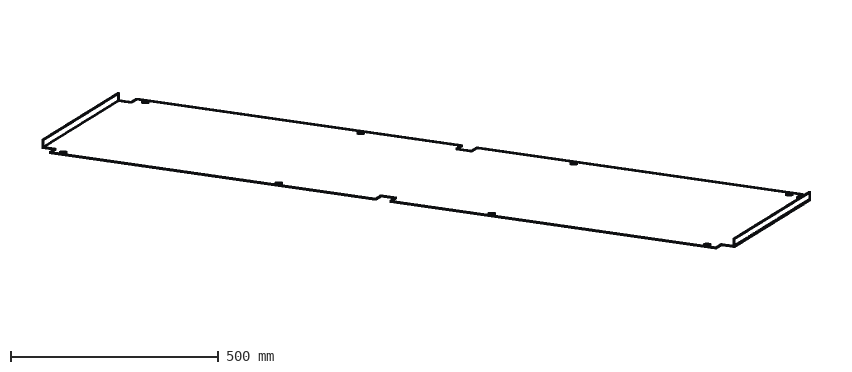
import cadquery as cq

LENGTH = 1850.0
WIDTH = 480.0
HEIGHT = 20.0
THICKNESS = 2.0

CORNER_NOTCH_X = 35.0
CORNER_NOTCH_Y = 30.0
CENTRE_NOTCH_WIDTH = 40.0
CENTRE_NOTCH_DEPTH = 30.0

HOLE_DIAMETER = 16.0
HOLE_EDGE_DISTANCE = 12.0
OUTER_HOLE_X = 861.0
INNER_HOLE_X = 285.0

SIDES = (-1, 1)
END_WIDTH = WIDTH - 2 * CORNER_NOTCH_Y


def base_sheet():
    """Flat sheet with its underside at Z = 0."""
    return cq.Workplane("XY").box(LENGTH, WIDTH, THICKNESS, centered=(True, True, False))


def corner_notches():
    """Blocks that remove the four corners of the sheet."""
    return (
        cq.Workplane("XY")
        .rect(LENGTH - CORNER_NOTCH_X, WIDTH - CORNER_NOTCH_Y, forConstruction=True)
        .vertices()
        .rect(CORNER_NOTCH_X, CORNER_NOTCH_Y)
        .extrude(THICKNESS)
    )


def centre_notches():
    """Blocks that notch the middle of both long edges."""
    centre_y = (WIDTH - CENTRE_NOTCH_DEPTH) / 2
    return (
        cq.Workplane("XY")
        .pushPoints([(0, side * centre_y) for side in SIDES])
        .rect(CENTRE_NOTCH_WIDTH, CENTRE_NOTCH_DEPTH)
        .extrude(THICKNESS)
    )


def fixing_holes():
    """Cylinders for the through holes, mirrored across both centre lines."""
    hole_y = WIDTH / 2 - HOLE_EDGE_DISTANCE
    points = [
        (side_x * x, side_y * hole_y)
        for x in (INNER_HOLE_X, OUTER_HOLE_X)
        for side_x in SIDES
        for side_y in SIDES
    ]
    return cq.Workplane("XY").pushPoints(points).circle(HOLE_DIAMETER / 2).extrude(THICKNESS)


def end_flanges():
    """Upright flanges on both short ends, between the corner notches."""
    centre_x = (LENGTH - THICKNESS) / 2
    return (
        cq.Workplane("XY")
        .pushPoints([(side * centre_x, 0) for side in SIDES])
        .rect(THICKNESS, END_WIDTH)
        .extrude(HEIGHT)
    )


result = (
    base_sheet()
    .cut(corner_notches())
    .cut(centre_notches())
    .cut(fixing_holes())
    .union(end_flanges())
)